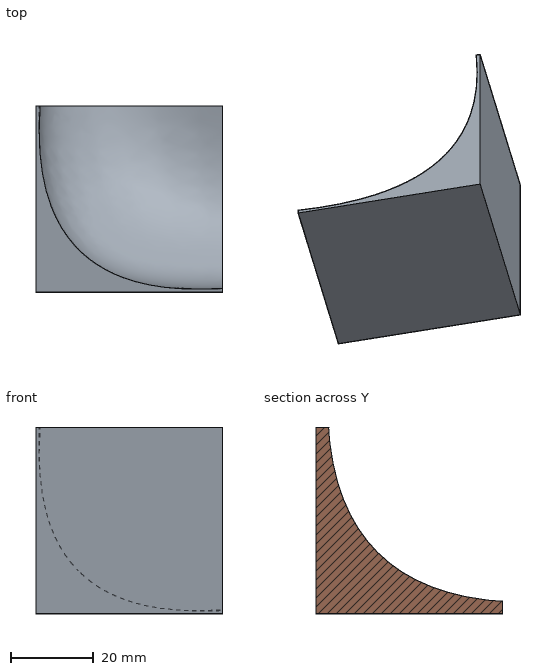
import cadquery as cq

side = 45.0
wall = 1.0
rim_middle = 10.3
grid_steps = 16
fit_tolerance = 0.001
surface_degree = 3

left_corner = cq.Vector(wall, side, side)
front_corner = cq.Vector(side, wall, side)
floor_corner = cq.Vector(side, side, wall)


def rim(start, middle, end):
    """Smooth curve across one open face of the cube."""
    return cq.Edge.makeSpline([start, middle, end], parameters=[0, 0.5, 1])


def point_on(curve, fraction):
    return curve.positionAt(fraction, mode="parameter")


def scoop_surface():
    """Coons patch spanning the three rims; its fourth side shrinks to front_corner."""
    top_rim = rim(left_corner, cq.Vector(rim_middle, rim_middle, side), front_corner)
    right_rim = rim(floor_corner, cq.Vector(side, rim_middle, rim_middle), front_corner)
    back_rim = rim(left_corner, cq.Vector(rim_middle, side, rim_middle), floor_corner)

    def patch_point(forward, across):
        """forward: 0 at the back rim, 1 at front_corner; across: 0 at the top rim, 1 at the right rim."""
        between_rims = point_on(top_rim, forward) * (1 - across) + point_on(right_rim, forward) * across
        back_chord = left_corner * (1 - across) + floor_corner * across
        back_bulge = point_on(back_rim, across) - back_chord
        return between_rims + back_bulge * (1 - forward)

    fractions = [step / grid_steps for step in range(grid_steps + 1)]
    grid = [[patch_point(forward, across) for across in fractions] for forward in fractions]
    return cq.Face.makeSplineApprox(
        grid, tol=fit_tolerance, minDeg=surface_degree, maxDeg=surface_degree
    )


def scooped_cube():
    """Divide the cube along the scoop and keep the piece at the closed corner."""
    cube = cq.Solid.makeBox(side, side, side)
    pieces = cube.split(scoop_surface()).Solids()
    return min(pieces, key=lambda piece: piece.Center().Length)


result = cq.Workplane(obj=scooped_cube())